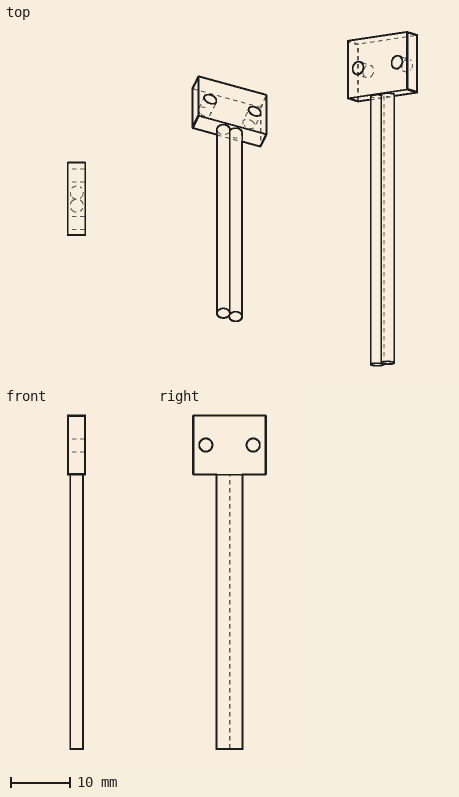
import cadquery as cq

total_height = 56.5
plate_thickness = 3.0
plate_width = 12.4
plate_height = 10.0
edge_chamfer = 0.1
hole_diameter = 2.2
hole_spacing = 8.0
lead_diameter = 2.2
lead_gap = 0.01

lead_length = total_height - plate_height
lead_spacing = lead_diameter + lead_gap


def make_plate():
    """Upright rectangular plate with beveled ends and two through holes at mid height."""
    plate = cq.Workplane("XY").box(
        plate_thickness, plate_width, plate_height, centered=(True, True, False)
    )
    plate = plate.faces("<Y or >Y").edges().chamfer(edge_chamfer)
    holes = (
        cq.Workplane("YZ", origin=(0, 0, plate_height / 2))
        .pushPoints([(-hole_spacing / 2, 0), (hole_spacing / 2, 0)])
        .circle(hole_diameter / 2)
        .extrude(plate_thickness, both=True)
    )
    return plate.cut(holes)


def make_leads():
    """Two parallel round leads hanging side by side below the plate."""
    return (
        cq.Workplane("XY")
        .pushPoints([(0, -lead_spacing / 2), (0, lead_spacing / 2)])
        .circle(lead_diameter / 2)
        .extrude(-lead_length)
    )


result = make_plate().union(make_leads())